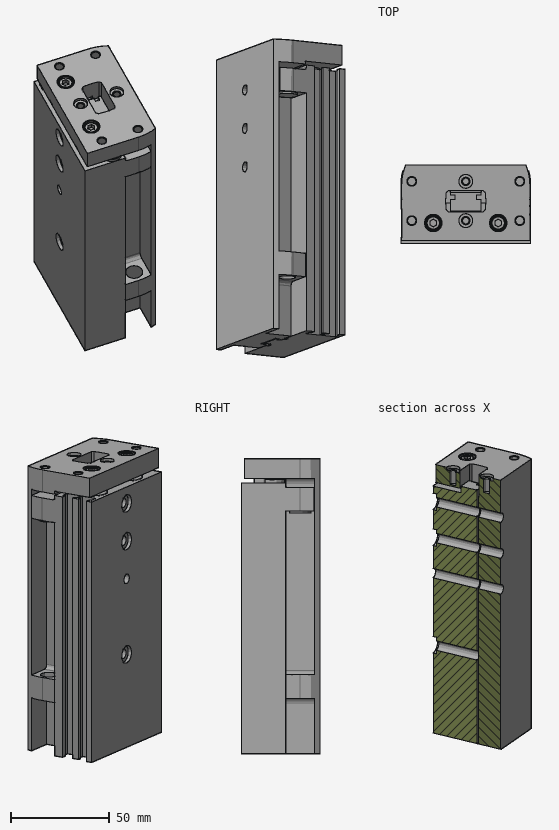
import cadquery as cq
import math

HOUSING_HALF_WIDTH = 33.0
HOUSING_BACK_Y = 22.4
HOUSING_TOP_Z = 137.7

TOTAL_HEIGHT = 150.0
TOTAL_DEPTH = 40.0
TABLE_HALF_WIDTH = 32.5
END_PLATE_FRONT_Y = 1.5
END_PLATE_BOTTOM_Z = 139.8
BACK_PLATE_FRONT_Y = 37.2
RIB_FRONT_Y = 22.6
RIB_HALF_WIDTH = 17.2

CORNER_START_Y = 29.8
CORNER_RADIUS = 26.8

LUG_BOTTOM_Z = 28.0
LUG_TOP_Z = 40.2
LEFT_POCKET_TOP_Z = 138.3
POCKET_FILLET = 2.1
STOP_AXIS_X = 26.4
STOP_AXIS_Y = 30.0
LUG_BORE_DIAMETER = 8.5

STOP_BOTTOM_Z = 123.3
STOP_TOP_Z = 135.3
STOP_BACK_Y = 36.9
STOP_INNER_X = 18.0
STOP_FILLET = 1.2
BUMPER_DIAMETER = 11.0
BUMPER_HEIGHT = 0.9

RAIL_HALF_WIDTH = 7.8
RAIL_NECK_HALF_WIDTH = 5.5
RAIL_FRONT_Y = 16.5
RAIL_NOTCH_FRONT_Y = 22.4
RAIL_NOTCH_BACK_Y = 24.6
RAIL_BACK_Y = 26.1
RAIL_TOP_Z = 141.3
RAIL_BACK_GAP = 0.6
TONGUE_HALF_WIDTH = 10.4
TONGUE_FRONT_Y = 20.7

SLOT_UNDERCUT_X = -30.3
SLOT_FLOOR_X = -26.2
UPPER_SLOT_FRONT_Y = 12.2
UPPER_SLOT_BACK_Y = 17.5
UPPER_SLOT_UNDERCUT = 1.4
LOWER_SLOT_FRONT_Y = 3.2
LOWER_SLOT_BACK_Y = 8.5
LOWER_SLOT_UNDERCUT = 1.2
SLOT_RIB_INSET = 1.0

MOUNT_HOLE_DIAMETER = 5.0
MOUNT_BORE_DIAMETER = 9.0
MOUNT_BORE_DEPTH = 2.0
TOP_MOUNT_HOLE_Z = 129.0
MOUNT_HOLE_PITCH = 20.0
LOW_MOUNT_HOLE_Z = TOP_MOUNT_HOLE_Z - 4 * MOUNT_HOLE_PITCH

BOSS_DIAMETER = 10.0
BOSS_X = 27.9
BOSS_Y = 17.0
BOSS_TOP_Z = 139.4

CORNER_HOLE_DIAMETER = 4.2
CORNER_HOLE_ENTRY_DIAMETER = 5.0
CORNER_HOLE_DEPTH = 9.0
CORNER_HOLE_X = 27.5
HOLE_FRONT_Y = 11.7
HOLE_BACK_Y = 31.6
CENTRE_HOLE_DIAMETER = 3.3
CENTRE_HOLE_ENTRY_DIAMETER = 4.2
CENTRE_BORE_DIAMETER = 7.0
CENTRE_BORE_DEPTH = 1.5
CENTRE_HOLE_DEPTH = 7.5
WINDOW_HALF_WIDTH = 9.9
WINDOW_BULGE = 0.3
WINDOW_CORNER = 1.0
WINDOW_FRONT_Y = 16.2
WINDOW_BACK_Y = 27.0
WINDOW_FLOOR_Z = 137.7

SCREW_X = 16.5
SCREW_Y = 10.5
SCREW_SHANK_DIAMETER = 8.1
SCREW_RECESS_DIAMETER = 8.1
SCREW_RECESS_ENTRY_DIAMETER = 8.8
SCREW_RECESS_DEPTH = 1.5
SCREW_HEAD_DIAMETER = 7.2
SCREW_HEAD_HEIGHT = 0.9
SCREW_HEAD_CHAMFER = 0.5
SOCKET_CORNERS = 3.9
SOCKET_DEPTH = 2.2
SCREW_SEAT_DIAMETER = 16.0
SCREW_SEAT_DEPTH = 0.5


def box(x_range, y_range, z_range):
    """Box between two limits on each axis."""
    sizes = [high - low for low, high in (x_range, y_range, z_range)]
    low_corner = (x_range[0], y_range[0], z_range[0])
    return cq.Workplane("XY").box(*sizes, centered=False).translate(low_corner)


def cylinder(diameter, x, y, bottom_z, top_z):
    """Upright cylinder."""
    return cq.Workplane("XY", origin=(x, y, bottom_z)).circle(diameter / 2).extrude(top_z - bottom_z)


def corner_point(half_width, y):
    """Offset from the centre plane of the rounded side at a given y."""
    rise = y - CORNER_START_Y
    return half_width - CORNER_RADIUS + math.sqrt(CORNER_RADIUS**2 - rise**2)


def rounded_prism(half_width, front_y, back_y, bottom_z, top_z):
    """Upright prism whose sides curve inward towards its back."""
    middle_y = (CORNER_START_Y + back_y) / 2
    middle_x = corner_point(half_width, middle_y)
    back_x = corner_point(half_width, back_y)
    return (
        cq.Workplane("XY", origin=(0, 0, bottom_z))
        .moveTo(-half_width, front_y)
        .lineTo(half_width, front_y)
        .lineTo(half_width, CORNER_START_Y)
        .threePointArc((middle_x, middle_y), (back_x, back_y))
        .lineTo(-back_x, back_y)
        .threePointArc((-middle_x, middle_y), (-half_width, CORNER_START_Y))
        .close()
        .extrude(top_z - bottom_z)
    )


def rail(top_z, back_y):
    """Guide rail with a notch along each side."""
    half_outline = [
        (RAIL_HALF_WIDTH, RAIL_FRONT_Y),
        (RAIL_HALF_WIDTH, RAIL_NOTCH_FRONT_Y),
        (RAIL_NECK_HALF_WIDTH, RAIL_NOTCH_FRONT_Y),
        (RAIL_NECK_HALF_WIDTH, RAIL_NOTCH_BACK_Y),
        (RAIL_HALF_WIDTH, RAIL_NOTCH_BACK_Y),
        (RAIL_HALF_WIDTH, back_y),
    ]
    mirrored = [(-x, y) for x, y in reversed(half_outline)]
    return cq.Workplane("XY").polyline(half_outline + mirrored).close().extrude(top_z)


def chamfered_hole(diameter, entry_diameter, x, y, depth, top_z):
    """Blind hole with a 45-degree entry chamfer."""
    chamfer_depth = (entry_diameter - diameter) / 2
    entry = (
        cq.Workplane("XY", origin=(x, y, top_z))
        .circle(entry_diameter / 2)
        .extrude(-chamfer_depth, taper=45)
    )
    return entry.union(cylinder(diameter, x, y, top_z - depth, top_z))


def mount_hole(diameter, z, depth):
    """Cylinder running from the front face towards +Y."""
    return cq.Workplane("XZ", origin=(0, 0, z)).circle(diameter / 2).extrude(-depth)


def upper_mount_holes():
    """The three holes that pass through both bodies."""
    holes = cq.Workplane("XY")
    for index in range(3):
        z = TOP_MOUNT_HOLE_Z - index * MOUNT_HOLE_PITCH
        holes = holes.add(mount_hole(MOUNT_HOLE_DIAMETER, z, TOTAL_DEPTH))
    return holes.combine()


def t_slot(mouth_x, front_y, back_y, undercut):
    """T-slot running the full height of the housing."""
    mouth = box((mouth_x, SLOT_FLOOR_X), (front_y, back_y), (0, HOUSING_TOP_Z))
    undercut_y = (front_y - undercut, back_y + undercut)
    return mouth.union(box((SLOT_UNDERCUT_X, SLOT_FLOOR_X), undercut_y, (0, HOUSING_TOP_Z)))


def housing_stop(side):
    """Stop standing on the back of the housing, with its bumper."""
    outline = rounded_prism(HOUSING_HALF_WIDTH, HOUSING_BACK_Y, STOP_BACK_Y, STOP_BOTTOM_Z, STOP_TOP_Z)
    x_range = sorted((side * STOP_INNER_X, side * HOUSING_HALF_WIDTH))
    stop = outline.intersect(box(x_range, (0, TOTAL_DEPTH), (0, TOTAL_HEIGHT)))
    bumper_bottom_z = STOP_BOTTOM_Z - BUMPER_HEIGHT
    return stop.union(
        cylinder(BUMPER_DIAMETER, side * STOP_AXIS_X, STOP_AXIS_Y, bumper_bottom_z, STOP_BOTTOM_Z)
    )


def build_housing():
    housing = box((-HOUSING_HALF_WIDTH, HOUSING_HALF_WIDTH), (0, HOUSING_BACK_Y), (0, HOUSING_TOP_Z))

    housing = housing.cut(
        box((-TONGUE_HALF_WIDTH, TONGUE_HALF_WIDTH), (TONGUE_FRONT_Y, HOUSING_BACK_Y), (0, HOUSING_TOP_Z))
    )
    housing = housing.union(rail(RAIL_TOP_Z, RAIL_BACK_Y))

    for side in (-1, 1):
        housing = housing.union(housing_stop(side))
        blend_point = (side * STOP_AXIS_X, HOUSING_BACK_Y, STOP_TOP_Z)
        housing = housing.edges(cq.selectors.NearestToPointSelector(blend_point)).fillet(STOP_FILLET)

    housing = housing.cut(
        t_slot(-HOUSING_HALF_WIDTH, UPPER_SLOT_FRONT_Y, UPPER_SLOT_BACK_Y, UPPER_SLOT_UNDERCUT)
    )
    housing = housing.cut(
        t_slot(-HOUSING_HALF_WIDTH, LOWER_SLOT_FRONT_Y, LOWER_SLOT_BACK_Y, LOWER_SLOT_UNDERCUT)
    )
    housing = housing.cut(
        box(
            (-HOUSING_HALF_WIDTH, SLOT_RIB_INSET - HOUSING_HALF_WIDTH),
            (LOWER_SLOT_BACK_Y, UPPER_SLOT_FRONT_Y),
            (0, HOUSING_TOP_Z),
        )
    )

    housing = housing.cut(upper_mount_holes())
    housing = housing.cut(mount_hole(MOUNT_HOLE_DIAMETER, LOW_MOUNT_HOLE_Z, TOTAL_DEPTH))
    for z in (TOP_MOUNT_HOLE_Z, TOP_MOUNT_HOLE_Z - MOUNT_HOLE_PITCH, LOW_MOUNT_HOLE_Z):
        housing = housing.cut(mount_hole(MOUNT_BORE_DIAMETER, z, MOUNT_BORE_DEPTH))

    seat_z = HOUSING_TOP_Z - SCREW_SEAT_DEPTH
    for x in (-SCREW_X, SCREW_X):
        housing = housing.cut(cylinder(SCREW_SEAT_DIAMETER, x, SCREW_Y, seat_z, HOUSING_TOP_Z))

    return housing.union(cylinder(BOSS_DIAMETER, BOSS_X, BOSS_Y, HOUSING_TOP_Z, BOSS_TOP_Z))


def side_pocket(side, bottom_z, top_z):
    """Pocket between the rib and one side of the table, rounded where the rib meets its roof and the lug."""
    x_range = sorted((side * RIB_HALF_WIDTH, side * HOUSING_HALF_WIDTH))
    pocket = box(x_range, (RIB_FRONT_Y, BACK_PLATE_FRONT_Y), (bottom_z, top_z))
    rib_side = "<X" if side > 0 else ">X"
    pocket = pocket.faces(rib_side).edges(">Z").fillet(POCKET_FILLET)
    if bottom_z > 0:
        pocket = pocket.faces(rib_side).edges("<Z").fillet(POCKET_FILLET)
    return pocket


def window():
    """Window with cut corners and slightly bulging sides."""
    corner_x = WINDOW_HALF_WIDTH - WINDOW_CORNER
    front_side_y = WINDOW_FRONT_Y + WINDOW_CORNER
    back_side_y = WINDOW_BACK_Y - WINDOW_CORNER
    middle_y = (WINDOW_FRONT_Y + WINDOW_BACK_Y) / 2
    bulge_x = WINDOW_HALF_WIDTH + WINDOW_BULGE
    return (
        cq.Workplane("XY", origin=(0, 0, WINDOW_FLOOR_Z))
        .moveTo(-corner_x, WINDOW_FRONT_Y)
        .lineTo(corner_x, WINDOW_FRONT_Y)
        .lineTo(WINDOW_HALF_WIDTH, front_side_y)
        .threePointArc((bulge_x, middle_y), (WINDOW_HALF_WIDTH, back_side_y))
        .lineTo(corner_x, WINDOW_BACK_Y)
        .lineTo(-corner_x, WINDOW_BACK_Y)
        .lineTo(-WINDOW_HALF_WIDTH, back_side_y)
        .threePointArc((-bulge_x, middle_y), (-WINDOW_HALF_WIDTH, front_side_y))
        .close()
        .extrude(TOTAL_HEIGHT - WINDOW_FLOOR_Z)
    )


def add_screw(table, x):
    """Screw set into the end plate, with a socket in its recessed head."""
    recess_z = TOTAL_HEIGHT - SCREW_RECESS_DEPTH
    head_top_z = recess_z + SCREW_HEAD_HEIGHT
    seat_z = HOUSING_TOP_Z - SCREW_SEAT_DEPTH
    head = cylinder(SCREW_HEAD_DIAMETER, x, SCREW_Y, recess_z, head_top_z)
    socket = (
        cq.Workplane("XY", origin=(x, SCREW_Y, head_top_z))
        .transformed(rotate=(0, 0, 90))
        .polygon(6, SOCKET_CORNERS)
        .extrude(-SOCKET_DEPTH)
    )
    table = table.union(cylinder(SCREW_SHANK_DIAMETER, x, SCREW_Y, seat_z, END_PLATE_BOTTOM_Z))
    table = table.cut(
        chamfered_hole(
            SCREW_RECESS_DIAMETER,
            SCREW_RECESS_ENTRY_DIAMETER,
            x,
            SCREW_Y,
            SCREW_RECESS_DEPTH,
            TOTAL_HEIGHT,
        )
    )
    table = table.union(head.faces(">Z").chamfer(SCREW_HEAD_CHAMFER))
    return table.cut(socket)


def build_table():
    table = rounded_prism(TABLE_HALF_WIDTH, END_PLATE_FRONT_Y, TOTAL_DEPTH, 0, TOTAL_HEIGHT)
    table = table.cut(
        box((-HOUSING_HALF_WIDTH, HOUSING_HALF_WIDTH), (0, RIB_FRONT_Y), (0, END_PLATE_BOTTOM_Z))
    )

    for side, pocket_top_z in ((-1, LEFT_POCKET_TOP_Z), (1, END_PLATE_BOTTOM_Z)):
        table = table.cut(side_pocket(side, 0, LUG_BOTTOM_Z))
        table = table.cut(side_pocket(side, LUG_TOP_Z, pocket_top_z))
        table = table.cut(
            cylinder(LUG_BORE_DIAMETER, side * STOP_AXIS_X, STOP_AXIS_Y, LUG_BOTTOM_Z, LUG_TOP_Z)
        )

    table = table.union(
        box((-TONGUE_HALF_WIDTH, TONGUE_HALF_WIDTH), (TONGUE_FRONT_Y, RIB_FRONT_Y), (0, HOUSING_TOP_Z))
    )
    table = table.cut(rail(HOUSING_TOP_Z, RAIL_BACK_Y + RAIL_BACK_GAP))
    table = table.cut(window())

    bore_floor_z = TOTAL_HEIGHT - CENTRE_BORE_DEPTH
    for y in (HOLE_FRONT_Y, HOLE_BACK_Y):
        for x in (-CORNER_HOLE_X, CORNER_HOLE_X):
            table = table.cut(
                chamfered_hole(
                    CORNER_HOLE_DIAMETER, CORNER_HOLE_ENTRY_DIAMETER, x, y, CORNER_HOLE_DEPTH, TOTAL_HEIGHT
                )
            )
        table = table.cut(cylinder(CENTRE_BORE_DIAMETER, 0, y, bore_floor_z, TOTAL_HEIGHT))
        table = table.cut(
            chamfered_hole(
                CENTRE_HOLE_DIAMETER, CENTRE_HOLE_ENTRY_DIAMETER, 0, y, CENTRE_HOLE_DEPTH, bore_floor_z
            )
        )

    for x in (-SCREW_X, SCREW_X):
        table = add_screw(table, x)
    return table.cut(upper_mount_holes())


housing = build_housing()
table = build_table()
result = cq.Compound.makeCompound([housing.val(), table.val()])